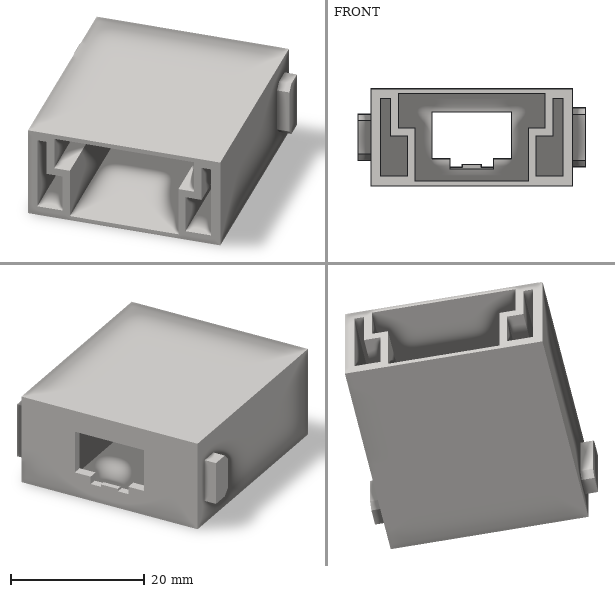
import cadquery as cq

OVERALL_WIDTH = 34.2
DEPTH = 34.0
HEIGHT = 14.65
LUG_REACH = 1.95
BODY_WIDTH = OVERALL_WIDTH - 2 * LUG_REACH
FRONT = -DEPTH / 2
BACK = DEPTH / 2

BACK_WALL = 1.5
CAVITY_DEPTH = DEPTH - BACK_WALL

CAVITY_TOP_WIDTH = 22.02
CAVITY_LOW_WIDTH = 17.1
CAVITY_HEIGHT = 13.2
LEDGE_Z = 1.4

POCKET_OUTER_X = 13.68
POCKET_UPPER_INNER_X = 12.2
POCKET_LOWER_INNER_X = 9.68
POCKET_HEIGHT = 11.65
POCKET_STEP_Z = 0.17

WINDOW_WIDTH = 11.95
WINDOW_TOP_Z = 3.75
WINDOW_BOTTOM_Z = -3.2
NOTCH_WIDTH = 6.45
NOTCH_BOTTOM_Z = -4.75

SILL_RISE = 0.27
TAB_RISE = 0.7
TAB_WIDTH = 2.87

LUG_LENGTH = 3.73
LUG_BACK_OFFSET = 2.15
LUG_CHAMFER = 1.0
LEFT_LUG_HEIGHT = 6.98
RIGHT_LUG_HEIGHT = 8.9


def outline_along_y(points, start_y, length):
    """Extrude a closed XZ outline toward +Y from start_y."""
    return cq.Workplane("XZ", origin=(0, start_y, 0)).polyline(points).close().extrude(-length)


def main_cavity():
    top_x = CAVITY_TOP_WIDTH / 2
    low_x = CAVITY_LOW_WIDTH / 2
    top_z = CAVITY_HEIGHT / 2
    outline = [
        (-low_x, -top_z),
        (low_x, -top_z),
        (low_x, LEDGE_Z),
        (top_x, LEDGE_Z),
        (top_x, top_z),
        (-top_x, top_z),
        (-top_x, LEDGE_Z),
        (-low_x, LEDGE_Z),
    ]
    return outline_along_y(outline, FRONT, CAVITY_DEPTH)


def side_pocket(side):
    """L-shaped blind pocket; side is -1 for -X and 1 for +X."""
    top_z = POCKET_HEIGHT / 2
    outline = [
        (side * POCKET_OUTER_X, top_z),
        (side * POCKET_UPPER_INNER_X, top_z),
        (side * POCKET_UPPER_INNER_X, POCKET_STEP_Z),
        (side * POCKET_LOWER_INNER_X, POCKET_STEP_Z),
        (side * POCKET_LOWER_INNER_X, -top_z),
        (side * POCKET_OUTER_X, -top_z),
    ]
    return outline_along_y(outline, FRONT, CAVITY_DEPTH)


def back_window():
    half_window = WINDOW_WIDTH / 2
    half_notch = NOTCH_WIDTH / 2
    outline = [
        (-half_window, WINDOW_TOP_Z),
        (half_window, WINDOW_TOP_Z),
        (half_window, WINDOW_BOTTOM_Z),
        (half_notch, WINDOW_BOTTOM_Z),
        (half_notch, NOTCH_BOTTOM_Z),
        (-half_notch, NOTCH_BOTTOM_Z),
        (-half_notch, WINDOW_BOTTOM_Z),
        (-half_window, WINDOW_BOTTOM_Z),
    ]
    return outline_along_y(outline, BACK - BACK_WALL, BACK_WALL)


def notch_ramp(width, rise):
    """Raised notch floor: a 45 degree ramp, then flat to the back face."""
    ramp_start = BACK - BACK_WALL
    outline = [
        (ramp_start, NOTCH_BOTTOM_Z),
        (ramp_start + rise, NOTCH_BOTTOM_Z + rise),
        (BACK, NOTCH_BOTTOM_Z + rise),
        (BACK, NOTCH_BOTTOM_Z),
    ]
    return cq.Workplane("YZ").polyline(outline).close().extrude(width / 2, both=True)


def side_lug(side, height):
    """Lug standing out from a side wall; side is -1 for -X and 1 for +X."""
    center_x = side * (BODY_WIDTH + LUG_REACH) / 2
    center_y = BACK - LUG_BACK_OFFSET - LUG_LENGTH / 2
    lug = cq.Workplane("XY").box(LUG_REACH, LUG_LENGTH, height)
    lug = lug.faces("<Y").edges("|X").chamfer(LUG_CHAMFER)
    return lug.translate((center_x, center_y, 0))


result = cq.Workplane("XY").box(BODY_WIDTH, DEPTH, HEIGHT)
result = result.cut(main_cavity()).cut(back_window())
for side, lug_height in ((-1, LEFT_LUG_HEIGHT), (1, RIGHT_LUG_HEIGHT)):
    result = result.cut(side_pocket(side))
    result = result.union(side_lug(side, lug_height))
result = result.union(notch_ramp(NOTCH_WIDTH, SILL_RISE))
result = result.union(notch_ramp(TAB_WIDTH, TAB_RISE))